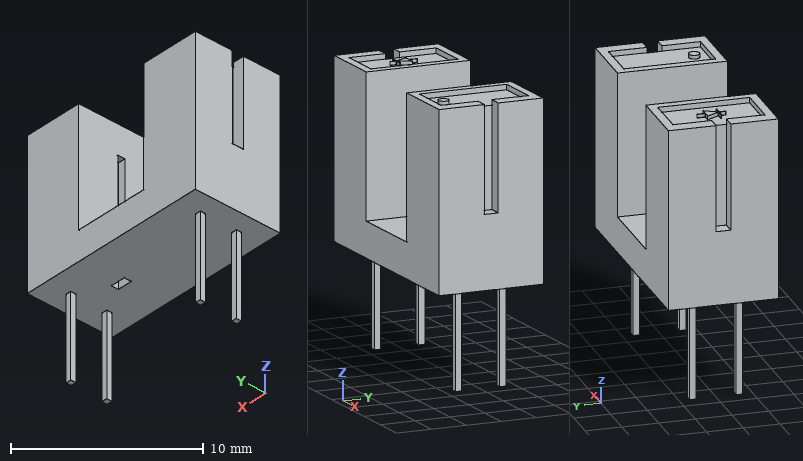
import cadquery as cq

total_height = 15.6
body_length = 13.0
body_depth = 6.0
body_height = 10.0

base_height = 2.0
tower_length = 4.0
gap_length = body_length - 2 * tower_length

outer_wall = 0.8
inner_wall = 0.5
end_wall = 0.5
pocket_depth = 0.3
pocket_length = tower_length - outer_wall - inner_wall
pocket_width = body_depth - 2 * end_wall
pocket_center = body_length / 2 - outer_wall - pocket_length / 2
pocket_floor = body_height - pocket_depth

slot_width = 0.8
slot_height = 5.9

slit_width = 0.5
slit_depth = 0.5
slit_top = 8.0
slit_overhang = 0.5

mark_height = 0.2
dot_diameter = 0.6
dot_y = -1.75
symbol_half_width = 0.42
symbol_top = 0.33
symbol_bar_y = -0.4
stem_half_length = 0.78
line_width = 0.05

lead_size = 0.37
lead_length = total_height - body_height
lead_spacing_x = 10.0
lead_spacing_y = 2.55


def block(length, width, height, x, y, z):
    """A box centred on (x, y), standing on height z."""
    return cq.Workplane("XY", origin=(x, y, z)).rect(length, width).extrude(height)


def pocket(side):
    return block(pocket_length, pocket_width, pocket_depth, side * pocket_center, 0, pocket_floor)


def slot(side):
    center = side * (body_length - outer_wall) / 2
    return block(outer_wall, slot_width, slot_height, center, 0, body_height - slot_height)


def aperture_slit():
    center = gap_length / 2 + (slit_depth - slit_overhang) / 2
    return block(slit_overhang + slit_depth, slit_width, slit_top, center, 0, 0)


def dot_mark():
    dot = cq.Workplane("XY", origin=(pocket_center, dot_y, pocket_floor))
    return dot.circle(dot_diameter / 2).extrude(mark_height)


def diode_mark():
    """A triangle pointing to -Y, with a bar across its tip and a stem along its axis."""
    x = -pocket_center
    triangle = (
        cq.Workplane("XY", origin=(x, 0, pocket_floor))
        .moveTo(-symbol_half_width, symbol_top)
        .lineTo(symbol_half_width, symbol_top)
        .lineTo(0, symbol_bar_y)
        .close()
        .extrude(mark_height)
    )
    stem = block(line_width, 2 * stem_half_length, mark_height, x, 0, pocket_floor)
    bar = block(2 * symbol_half_width, line_width, mark_height, x, symbol_bar_y, pocket_floor)
    return triangle.union(stem).union(bar)


def make_housing():
    body = block(body_length, body_depth, body_height, 0, 0, 0)
    body = body.cut(block(gap_length, body_depth, body_height - base_height, 0, 0, base_height))
    for side in (-1, 1):
        body = body.cut(pocket(side)).cut(slot(side))
    return body.cut(aperture_slit()).union(dot_mark()).union(diode_mark())


def make_lead(x, y):
    return block(lead_size, lead_size, lead_length, x, y, -lead_length)


housing = make_housing()

leads = []
for x in (-lead_spacing_x / 2, lead_spacing_x / 2):
    for y in (-lead_spacing_y / 2, lead_spacing_y / 2):
        leads.append(make_lead(x, y).val())

result = cq.Compound.makeCompound([housing.val(), *leads])